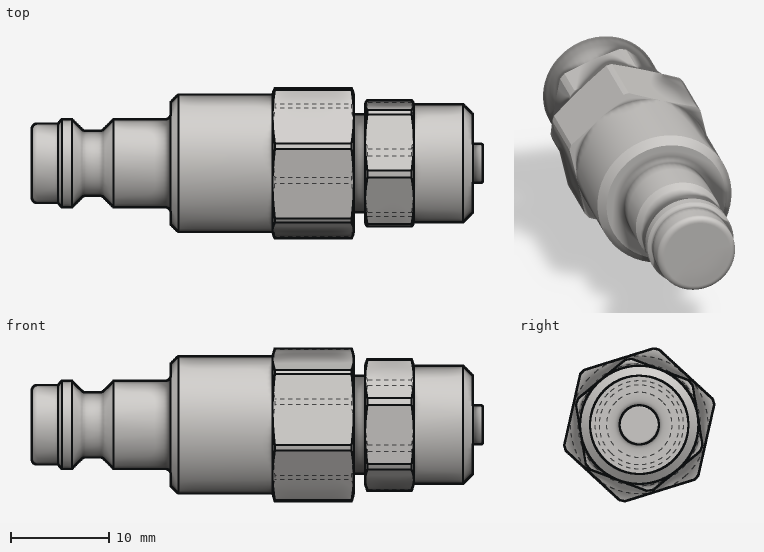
import cadquery as cq
import math

COLLAR_START = 2.7
COLLAR_CREST_START = 3.05
COLLAR_CREST_END = 4.1
SHANK_START = 8.35
BODY_START = 14.1
LARGE_HEX_START = 24.5
LARGE_HEX_END = 32.75
SMALL_HEX_START = 33.9
SMALL_HEX_END = 38.85
GLAND_END = 44.85
TOTAL_LENGTH = 45.85

NOSE_DIAMETER = 8.1
COLLAR_DIAMETER = 9.0
GROOVE_DIAMETER = 6.65
BODY_DIAMETER = 14.0
NECK_DIAMETER = 10.0
GLAND_DIAMETER = 12.0
TIP_DIAMETER = 4.0

NOSE_ROUND = 0.6
GROOVE_FILLET = 0.4
SHANK_FILLET = 0.5
BODY_CHAMFER = 0.8
GLAND_CHAMFER = 1.0
TIP_ROUND = 0.25

LARGE_HEX_FLATS = BODY_DIAMETER
LARGE_HEX_CORNERS = 15.8
LARGE_HEX_ANGLE = 17.3
SMALL_HEX_FLATS = GLAND_DIAMETER
SMALL_HEX_CORNERS = 13.5
SMALL_HEX_ANGLE = 39.4
HEX_END_BEVEL = 0.25


def cylinder(start, end, diameter):
    """Solid cylinder on the X axis between two stations."""
    return cq.Workplane("YZ", origin=(start, 0, 0)).circle(diameter / 2).extrude(end - start)


def make_plug():
    """Nose, locking collar, groove and shank, turned about the X axis."""
    nose = NOSE_DIAMETER / 2
    collar = COLLAR_DIAMETER / 2
    groove = GROOVE_DIAMETER / 2
    groove_flank = collar - groove
    groove_start = COLLAR_CREST_END + groove_flank
    groove_end = SHANK_START - groove_flank
    tangent = GROOVE_FILLET * math.tan(math.radians(45 / 2))
    diagonal = tangent * math.cos(math.radians(45))
    nose_arc = NOSE_ROUND * (1 - math.cos(math.radians(45)))
    shank_arc = SHANK_FILLET * math.cos(math.radians(45))
    groove_arc_x = GROOVE_FILLET * math.sin(math.radians(45 / 2))
    groove_arc_r = GROOVE_FILLET * (1 - math.cos(math.radians(45 / 2)))
    floor_start = groove_start + tangent
    floor_end = groove_end - tangent
    return (
        cq.Workplane("XY")
        .lineTo(0, nose - NOSE_ROUND)
        .threePointArc((nose_arc, nose - nose_arc), (NOSE_ROUND, nose))
        .lineTo(COLLAR_START, nose)
        .lineTo(COLLAR_CREST_START, collar)
        .lineTo(COLLAR_CREST_END, collar)
        .lineTo(groove_start - diagonal, groove + diagonal)
        .threePointArc((floor_start - groove_arc_x, groove + groove_arc_r), (floor_start, groove))
        .lineTo(floor_end, groove)
        .threePointArc(
            (floor_end + groove_arc_x, groove + groove_arc_r),
            (groove_end + diagonal, groove + diagonal),
        )
        .lineTo(SHANK_START, collar)
        .lineTo(BODY_START - SHANK_FILLET, collar)
        .threePointArc(
            (BODY_START - SHANK_FILLET + shank_arc, collar + SHANK_FILLET - shank_arc),
            (BODY_START, collar + SHANK_FILLET),
        )
        .lineTo(BODY_START, 0)
        .close()
        .revolve(360, (0, 0, 0), (1, 0, 0))
    )


def make_hex(start, end, flats, corners, angle):
    """Hexagonal nut section on the X axis with trimmed corners and bevelled ends."""
    corner_to_corner = flats / math.cos(math.radians(30))
    prism = (
        cq.Workplane("YZ", origin=(start, 0, 0))
        .polygon(6, corner_to_corner)
        .extrude(end - start)
        .rotate((0, 0, 0), (1, 0, 0), angle)
    )
    envelope = (
        cq.Workplane("XY")
        .moveTo(start, 0)
        .lineTo(start, flats / 2)
        .lineTo(start + HEX_END_BEVEL, corners / 2)
        .lineTo(end - HEX_END_BEVEL, corners / 2)
        .lineTo(end, flats / 2)
        .lineTo(end, 0)
        .close()
        .revolve(360, (0, 0, 0), (1, 0, 0))
    )
    return prism.intersect(envelope)


plug = make_plug()
body = cylinder(BODY_START, LARGE_HEX_START, BODY_DIAMETER).faces("<X").chamfer(BODY_CHAMFER)
large_hex = make_hex(
    LARGE_HEX_START, LARGE_HEX_END, LARGE_HEX_FLATS, LARGE_HEX_CORNERS, LARGE_HEX_ANGLE
)
neck = cylinder(LARGE_HEX_END, SMALL_HEX_START, NECK_DIAMETER)
small_hex = make_hex(
    SMALL_HEX_START, SMALL_HEX_END, SMALL_HEX_FLATS, SMALL_HEX_CORNERS, SMALL_HEX_ANGLE
)
gland = cylinder(SMALL_HEX_END, GLAND_END, GLAND_DIAMETER).faces(">X").chamfer(GLAND_CHAMFER)
tip = cylinder(GLAND_END, TOTAL_LENGTH, TIP_DIAMETER).faces(">X").edges().fillet(TIP_ROUND)

result = plug
for section in (body, large_hex, neck, small_hex, gland, tip):
    result = result.union(section)